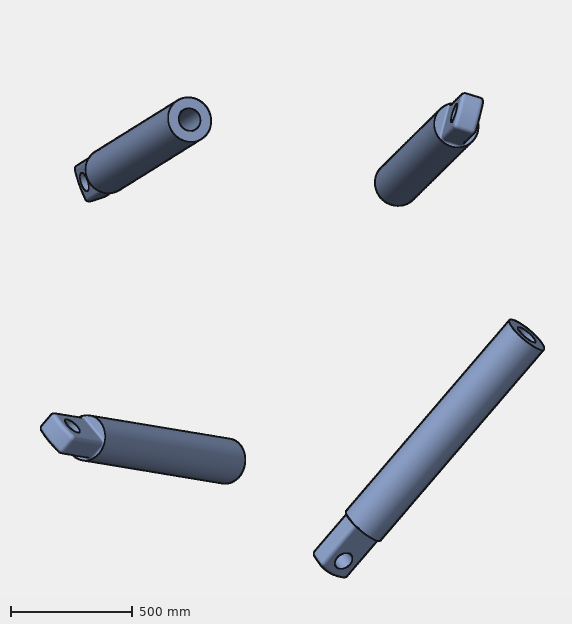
import cadquery as cq

tilt = 46.5
barrel_diameter = 189.0
barrel_length = 1068.0
bore_diameter = 95.0
bore_floor = bore_diameter
tongue_width = 160.0
tongue_thickness = 98.0
pin_diameter = 79.0
pin_to_barrel = 159.0
pin_to_tip = 80.0
tip_sag = 15.0
edge_fillet = 18.0
root_fillet = 10.0



def make_tongue():
    """Flat eye with a shallow arc at its tip and rounded outer edges."""
    half_width = tongue_width / 2
    tip_corner = tip_sag - pin_to_tip
    outline = (
        cq.Workplane("XZ")
        .moveTo(pin_to_barrel, -half_width)
        .lineTo(tip_corner, -half_width)
        .threePointArc((-pin_to_tip, 0), (tip_corner, half_width))
        .lineTo(pin_to_barrel, half_width)
        .close()
    )
    tongue = outline.extrude(tongue_thickness / 2, both=True)
    rounded = tongue.faces("not >X").edges("not >X")
    return rounded.fillet(edge_fillet)


def make_barrel():
    """Round barrel starting at the shoulder behind the tongue."""
    shoulder_plane = cq.Workplane("YZ", origin=(pin_to_barrel, 0, 0))
    return shoulder_plane.circle(barrel_diameter / 2).extrude(barrel_length)


def blend_root(body):
    """Fillet where the tongue meets the flat barrel shoulder."""
    reach = root_fillet / 2
    root_edges = cq.selectors.BoxSelector(
        (pin_to_barrel - reach, -tongue_thickness / 2 - reach, -tongue_width / 2 - reach),
        (pin_to_barrel + reach, tongue_thickness / 2 + reach, tongue_width / 2 + reach),
        boundingbox=True,
    )
    return body.edges(root_edges).fillet(root_fillet)


def make_pin_hole():
    """Cross hole through the tongue along Y."""
    return cq.Workplane("XZ").circle(pin_diameter / 2).extrude(tongue_thickness, both=True)


def make_bore():
    """Blind bore from the open end of the barrel."""
    floor_plane = cq.Workplane("YZ", origin=(pin_to_barrel + bore_floor, 0, 0))
    return floor_plane.circle(bore_diameter / 2).extrude(barrel_length - bore_floor)


body = blend_root(make_barrel().union(make_tongue()))
body = body.cut(make_pin_hole()).cut(make_bore())

result = body.rotate((0, 0, 0), (0, -1, 0), tilt)